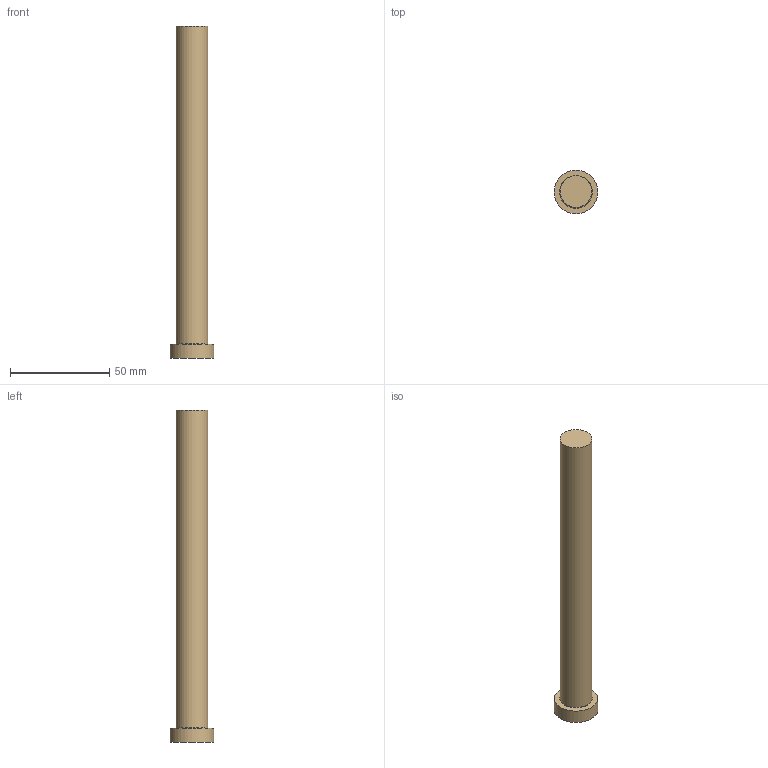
import cadquery as cq

HEAD_DIAMETER = 22.0
OVERALL_LENGTH = 167.0
HEAD_HEIGHT = 7.0
SHANK_DIAMETER = 16.0
ROOT_FILLET = 0.2

SHANK_LENGTH = OVERALL_LENGTH - HEAD_HEIGHT


def make_pin():
    """Head below Z = 0, shank above it, joined by a small root fillet."""
    head = cq.Workplane("XY").circle(HEAD_DIAMETER / 2).extrude(-HEAD_HEIGHT)
    shank = cq.Workplane("XY").circle(SHANK_DIAMETER / 2).extrude(SHANK_LENGTH)
    pin = head.union(shank)

    shoulder = pin.faces("%PLANE").faces("<Z[1]")
    root_edge = shoulder.edges(cq.selectors.RadiusNthSelector(0))
    return root_edge.fillet(ROOT_FILLET)


result = make_pin()